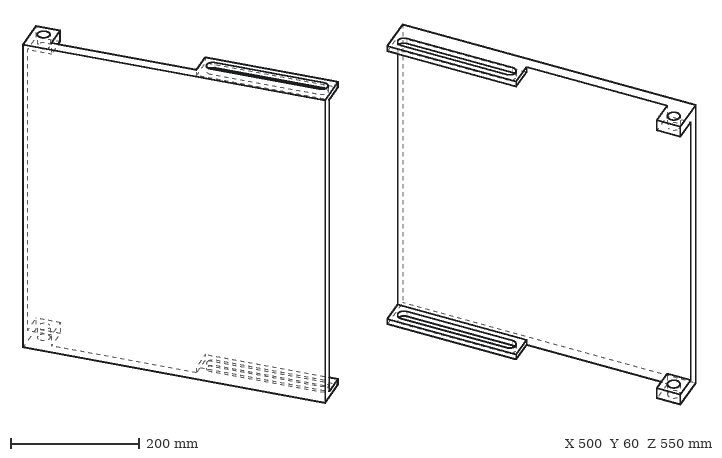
import cadquery as cq

width = 500.0
depth = 60.0
height = 550.0

wall = 20.0
hole_lug_width = 40.0
slot_lug_width = 220.0
slot_lug_thickness = 10.0

opening_width = 20.0
slot_length = 200.0
opening_y = depth - hole_lug_width / 2
hole_x = hole_lug_width / 2
slot_x = width - slot_lug_width / 2


def add_lug_pair(body, x, lug_width, thickness):
    """Add matching lugs flush with the bottom and top edges of the panel."""
    for z in (0, height - thickness):
        lug = cq.Workplane("XY").box(lug_width, depth, thickness, centered=False)
        body = body.union(lug.translate((x, 0, z)))
    return body


panel = cq.Workplane("XY").box(width, wall, height, centered=False)

panel = add_lug_pair(panel, 0, hole_lug_width, wall)
panel = add_lug_pair(panel, width - slot_lug_width, slot_lug_width, slot_lug_thickness)

pin_hole = cq.Workplane("XY").center(hole_x, opening_y).circle(opening_width / 2).extrude(height)
slot = cq.Workplane("XY").center(slot_x, opening_y).slot2D(slot_length, opening_width).extrude(height)

result = panel.cut(pin_hole).cut(slot)